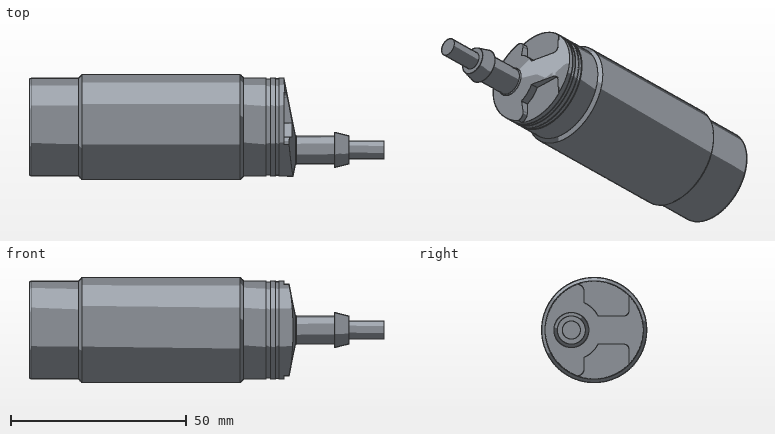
import cadquery as cq
import math

ROOT_HALF = math.sqrt(1 / 2)

NECK_DIA = 27.8
NECK_LENGTH = 14.0
NECK_EDGE_RADIUS = 0.6
BODY_DIA = 30.0
BODY_END = 61.0
BODY_TAPER_LENGTH = 1.0

REAR_DIA = 28.0
GROOVE_START = 67.4
GROOVE_WIDTH = 1.2
GROOVE_DIA = 27.4
SEAM_START = 70.0
SEAM_WIDTH = 1.0
SEAM_DIA = 27.6
POCKET_BOTTOM_X = 72.5

OUTLET_Y = -6.5
OUTLET_DIA = 8.0
OUTLET_START = 75.75
CAP_SLOPE = 0.2
OUTLET_ROOT_SIZE = 0.3
COLLAR_START = 86.8
COLLAR_END = 91.0
COLLAR_DIA = 10.1
COLLAR_EDGE_RADIUS = 0.2
CABLE_DIA = 5.15
TOTAL_LENGTH = 101.0

POCKET_FLOOR_Z = 4.0
POCKET_MIN_Y = -2.85
POCKET_MAX_Y = 9.9
POCKET_FILLET = 1.5
POCKET_LIP_RADIUS = 2.15
BOSS_RADIUS = 8.6


def x_cylinder(diameter, start, end, y=0.0):
    """Solid cylinder along X between two stations."""
    plane = cq.Workplane("YZ", origin=(start, y, 0))
    return plane.circle(diameter / 2).extrude(end - start)


def revolve_x(points, y=0.0):
    """Revolve an (x, radius) outline about the line parallel to X at the given y."""
    outline = cq.Workplane("XY", origin=(0, y, 0)).polyline(points).close()
    return outline.revolve(360, (0, 0, 0), (1, 0, 0))


def make_body():
    """Neck, main barrel with tapered ends, grooved rear sleeve and cap blank."""
    neck_r = NECK_DIA / 2
    body_r = BODY_DIA / 2
    rear_r = REAR_DIA / 2
    groove_r = GROOVE_DIA / 2
    groove_end = GROOVE_START + GROOVE_WIDTH
    seam_r = SEAM_DIA / 2
    seam_end = SEAM_START + SEAM_WIDTH
    edge_inset = NECK_EDGE_RADIUS * (1 - ROOT_HALF)
    outline = (
        cq.Workplane("XY")
        .moveTo(0, 0)
        .lineTo(0, neck_r - NECK_EDGE_RADIUS)
        .threePointArc((edge_inset, neck_r - edge_inset), (NECK_EDGE_RADIUS, neck_r))
        .lineTo(NECK_LENGTH, neck_r)
        .lineTo(NECK_LENGTH + BODY_TAPER_LENGTH, body_r)
        .lineTo(BODY_END - BODY_TAPER_LENGTH, body_r)
        .lineTo(BODY_END, rear_r)
        .lineTo(GROOVE_START, rear_r)
        .lineTo(GROOVE_START, groove_r)
        .lineTo(groove_end, groove_r)
        .lineTo(groove_end, rear_r)
        .lineTo(SEAM_START, rear_r)
        .lineTo(SEAM_START, seam_r)
        .lineTo(seam_end, seam_r)
        .lineTo(seam_end, rear_r)
        .lineTo(OUTLET_START, rear_r)
        .lineTo(OUTLET_START, 0)
        .close()
    )
    return outline.revolve(360, (0, 0, 0), (1, 0, 0))


def make_cap_cone():
    """Envelope whose rear face is a shallow cone around the cable outlet."""
    outlet_r = OUTLET_DIA / 2
    reach = BODY_DIA
    front_x = -BODY_DIA
    return revolve_x([
        (front_x, 0),
        (front_x, reach),
        (OUTLET_START - CAP_SLOPE * (reach - outlet_r), reach),
        (OUTLET_START, outlet_r),
        (OUTLET_START, 0),
    ], OUTLET_Y)


def make_pocket():
    """Upper pocket cutter: flat floor, filleted +Y wall, rounded -Y lip, round boss left standing."""
    top = BODY_DIA / 2
    lip_y = POCKET_MIN_Y - POCKET_LIP_RADIUS
    lip_z = math.sqrt((REAR_DIA / 2) ** 2 - lip_y ** 2)
    lip_mid = POCKET_LIP_RADIUS * (1 - ROOT_HALF)
    fillet_mid = POCKET_FILLET * (1 - ROOT_HALF)
    outline = (
        cq.Workplane("YZ", origin=(POCKET_BOTTOM_X, 0, 0))
        .moveTo(POCKET_MIN_Y, POCKET_FLOOR_Z)
        .lineTo(POCKET_MAX_Y - POCKET_FILLET, POCKET_FLOOR_Z)
        .threePointArc(
            (POCKET_MAX_Y - fillet_mid, POCKET_FLOOR_Z + fillet_mid),
            (POCKET_MAX_Y, POCKET_FLOOR_Z + POCKET_FILLET),
        )
        .lineTo(POCKET_MAX_Y, top)
        .lineTo(lip_y, top)
        .lineTo(lip_y, lip_z)
        .threePointArc(
            (POCKET_MIN_Y - lip_mid, lip_z - lip_mid),
            (POCKET_MIN_Y, lip_z - POCKET_LIP_RADIUS),
        )
        .close()
    )
    pocket = outline.extrude(OUTLET_START - POCKET_BOTTOM_X)
    return pocket.cut(x_cylinder(2 * BOSS_RADIUS, POCKET_BOTTOM_X, OUTLET_START, OUTLET_Y))


def make_outlet():
    """Outlet tube, tapered collar and cable on the offset axis."""
    outlet_r = OUTLET_DIA / 2
    tube = x_cylinder(OUTLET_DIA, POCKET_BOTTOM_X, COLLAR_END, OUTLET_Y)
    collar = revolve_x([
        (COLLAR_START, 0),
        (COLLAR_START, COLLAR_DIA / 2),
        (COLLAR_END, outlet_r),
        (COLLAR_END, 0),
    ], OUTLET_Y).edges().fillet(COLLAR_EDGE_RADIUS)
    root = revolve_x([
        (POCKET_BOTTOM_X, 0),
        (POCKET_BOTTOM_X, outlet_r),
        (OUTLET_START - CAP_SLOPE * OUTLET_ROOT_SIZE, outlet_r + OUTLET_ROOT_SIZE),
        (OUTLET_START + OUTLET_ROOT_SIZE, outlet_r),
        (OUTLET_START + OUTLET_ROOT_SIZE, 0),
    ], OUTLET_Y)
    cable = x_cylinder(CABLE_DIA, COLLAR_START, TOTAL_LENGTH, OUTLET_Y)
    return tube.union(root).union(collar).union(cable)


upper_pocket = make_pocket()
result = (
    make_body()
    .intersect(make_cap_cone())
    .cut(upper_pocket)
    .cut(upper_pocket.mirror("XY"))
    .union(make_outlet())
)